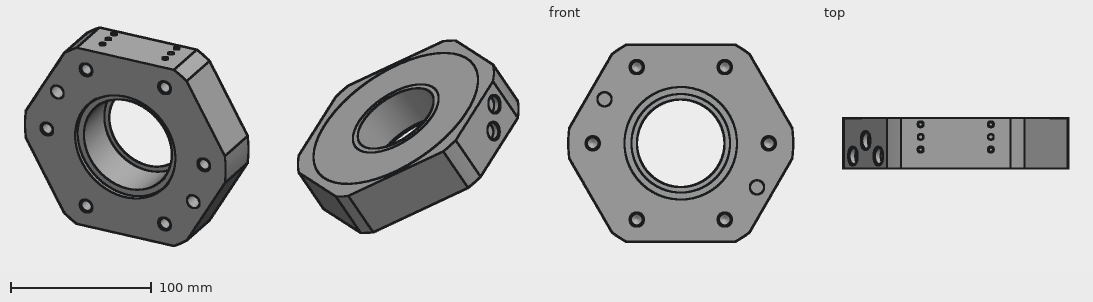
import cadquery as cq
import math

PLATE_THICKNESS = 36.0
CORNER_DIAMETER = 160.0
TOP_FLAT_DISTANCE = 70.0
SIDE_FLAT_DISTANCE = 74.0
TOP_FLAT_ANGLE = 90
FLAT_SPACING = 60

BORE_DIAMETER = 70.0
RECESS_DIAMETER = 79.9
RECESS_DEPTH = 4.0

RING_OUTER_DIAMETER = 134.3
RING_INNER_DIAMETER = 62.0
RING_THICKNESS = 0.1

BOLT_CIRCLE_RADIUS = 62.5
SCREW_ANGLES = range(0, 360, 60)
SCREW_DIAMETER = 8.5
SCREW_MOUTH_DIAMETER = 10.0
DOWEL_ANGLES = (150, 330)
DOWEL_DIAMETER = 10.0
FRONT_HOLE_DEPTH = 20.0
DRILL_POINT_ANGLE = 118.0

TOP_ROW_OFFSET = 25.0
TOP_DOWEL_Y = 22.5
TOP_SCREW_PITCH = 9.0
TOP_SCREW_DIAMETER = 3.4
TOP_SCREW_MOUTH_DIAMETER = 4.2
TOP_DOWEL_DIAMETER = 4.0
TOP_HOLE_DEPTH = 9.6

PORT_DIAMETER = 11.8
PORT_MOUTH_DIAMETER = 13.3
PORT_DEPTH = 5.5
PORT_PITCH = 18.0
UPPER_FLAT_ANGLE = 150
UPPER_PORTS = [(-PORT_PITCH, 9.0), (0, 20.0), (PORT_PITCH, 9.0)]
LOWER_FLAT_ANGLE = 210
LOWER_PORTS = [(4.3, 12.0), (19.3, 24.0)]


def polar(radius, angle):
    """X and Z of the point at a radius and an angle from +X towards +Z."""
    radians = math.radians(angle)
    return radius * math.cos(radians), radius * math.sin(radians)


def direction(angle):
    """Unit vector in the XZ plane at an angle from +X towards +Z."""
    x, z = polar(1, angle)
    return cq.Vector(x, 0, z)


def disc(diameter, y_front, thickness):
    """Cylinder about the Y axis, extending backwards from y_front."""
    return cq.Workplane("XZ", origin=(0, y_front, 0)).circle(diameter / 2).extrude(-thickness)


def blind_hole(mouth, inward, diameter, depth):
    """Cutter for a flat-bottomed hole."""
    return cq.Workplane(cq.Solid.makeCylinder(diameter / 2, depth, mouth, inward))


def chamfered_hole(mouth, inward, diameter, depth, mouth_diameter):
    """Cutter for a flat-bottomed hole with a 45-degree chamfer at its mouth."""
    chamfer = (mouth_diameter - diameter) / 2
    cone = cq.Solid.makeCone(mouth_diameter / 2, diameter / 2, chamfer, mouth, inward)
    return blind_hole(mouth, inward, diameter, depth).union(cq.Workplane(cone))


def screw_hole(mouth, inward, diameter, depth, mouth_diameter):
    """Cutter for a chamfered hole ending in a drill point."""
    point_height = diameter / 2 / math.tan(math.radians(DRILL_POINT_ANGLE / 2))
    point = cq.Solid.makeCone(diameter / 2, 0, point_height, mouth + inward * depth, inward)
    return chamfered_hole(mouth, inward, diameter, depth, mouth_diameter).union(cq.Workplane(point))


def flat_span(flat_angle):
    """Angles at which a flat starts and ends on the corner circle."""
    is_top_or_bottom = flat_angle % 180 == TOP_FLAT_ANGLE
    distance = TOP_FLAT_DISTANCE if is_top_or_bottom else SIDE_FLAT_DISTANCE
    half_angle = math.degrees(math.acos(distance / (CORNER_DIAMETER / 2)))
    return flat_angle - half_angle, flat_angle + half_angle


def make_blank():
    """Block whose outline is six flats joined by arcs of the corner circle."""
    radius = CORNER_DIAMETER / 2
    outline = cq.Workplane("XZ").moveTo(*polar(radius, flat_span(TOP_FLAT_ANGLE)[0]))
    for flat_angle in range(TOP_FLAT_ANGLE, TOP_FLAT_ANGLE + 360, FLAT_SPACING):
        flat_end = flat_span(flat_angle)[1]
        next_start = flat_span(flat_angle + FLAT_SPACING)[0]
        arc_middle = (flat_end + next_start) / 2
        outline = outline.lineTo(*polar(radius, flat_end))
        outline = outline.threePointArc(polar(radius, arc_middle), polar(radius, next_start))
    return outline.close().extrude(-PLATE_THICKNESS)


def cut_bore(plate):
    plate = plate.cut(disc(BORE_DIAMETER, 0, PLATE_THICKNESS))
    return plate.cut(disc(RECESS_DIAMETER, 0, RECESS_DEPTH))


def cut_front_holes(plate):
    inward = cq.Vector(0, 1, 0)
    for angle in SCREW_ANGLES:
        mouth = direction(angle) * BOLT_CIRCLE_RADIUS
        plate = plate.cut(screw_hole(mouth, inward, SCREW_DIAMETER, FRONT_HOLE_DEPTH, SCREW_MOUTH_DIAMETER))
    for angle in DOWEL_ANGLES:
        mouth = direction(angle) * BOLT_CIRCLE_RADIUS
        plate = plate.cut(blind_hole(mouth, inward, DOWEL_DIAMETER, FRONT_HOLE_DEPTH))
    return plate


def cut_top_holes(plate):
    inward = cq.Vector(0, 0, -1)
    for x in (-TOP_ROW_OFFSET, TOP_ROW_OFFSET):
        middle = cq.Vector(x, TOP_DOWEL_Y, TOP_FLAT_DISTANCE)
        plate = plate.cut(blind_hole(middle, inward, TOP_DOWEL_DIAMETER, TOP_HOLE_DEPTH))
        for shift in (-TOP_SCREW_PITCH, TOP_SCREW_PITCH):
            mouth = middle + cq.Vector(0, shift, 0)
            plate = plate.cut(
                screw_hole(mouth, inward, TOP_SCREW_DIAMETER, TOP_HOLE_DEPTH, TOP_SCREW_MOUTH_DIAMETER)
            )
    return plate


def cut_ports(plate, flat_angle, ports):
    outward = direction(flat_angle)
    up_the_flat = direction(flat_angle - 90)
    for distance, y in ports:
        mouth = outward * SIDE_FLAT_DISTANCE + up_the_flat * distance + cq.Vector(0, y, 0)
        plate = plate.cut(chamfered_hole(mouth, -outward, PORT_DIAMETER, PORT_DEPTH, PORT_MOUTH_DIAMETER))
    return plate


def make_plate():
    plate = cut_bore(make_blank())
    plate = cut_front_holes(plate)
    plate = cut_top_holes(plate)
    plate = cut_ports(plate, UPPER_FLAT_ANGLE, UPPER_PORTS)
    return cut_ports(plate, LOWER_FLAT_ANGLE, LOWER_PORTS)


def make_back_ring():
    ring = disc(RING_OUTER_DIAMETER, PLATE_THICKNESS, RING_THICKNESS)
    return ring.cut(disc(RING_INNER_DIAMETER, PLATE_THICKNESS, RING_THICKNESS))


plate = make_plate()
back_ring = make_back_ring()

result = cq.Compound.makeCompound([plate.val(), back_ring.val()])